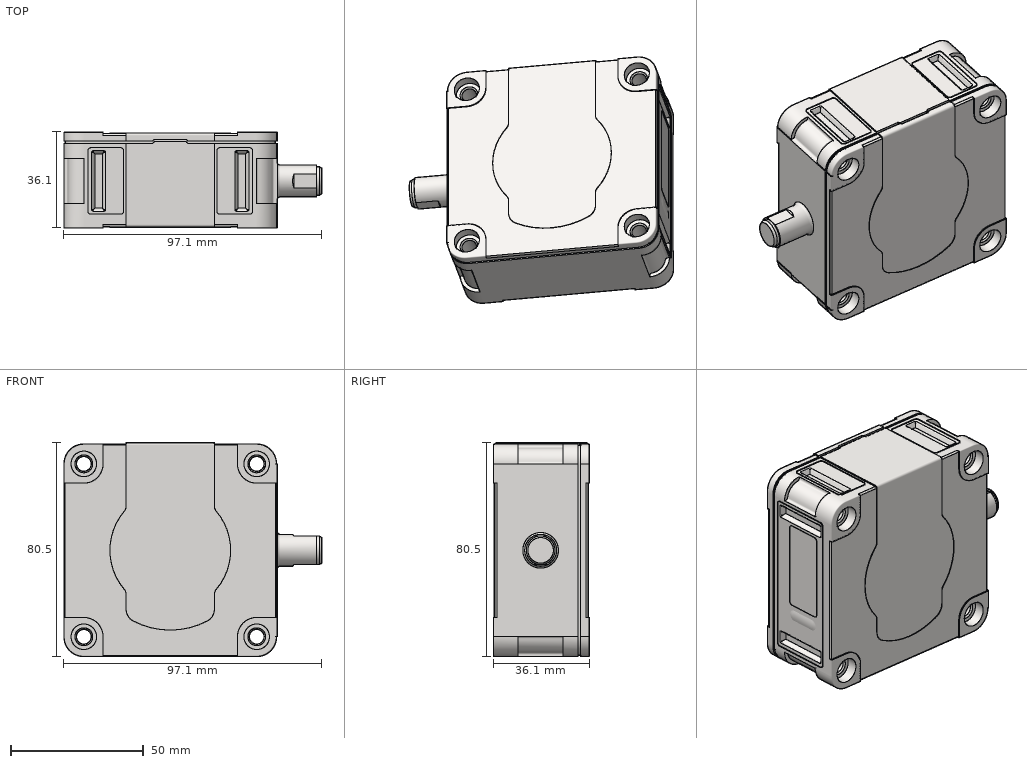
import cadquery as cq
import math

SIDE = 80.0
HALF = SIDE / 2
PAD_Y = 18.05
FACE_Y = 17.55
BAND_Y = 17.75
CORNER_RADIUS = 7.5
BEVEL_DEPTH = 0.85
BEVEL_RUN = 0.4
PAD_FILLET = 0.4
SIDE_CENTRE_Y = -0.3

HOLE_OFFSET = HALF - CORNER_RADIUS
PAD_RADIUS = 7.25
HOLE_DIAMETER = 5.5
HOLE_MOUTH_DIAMETER = 6.7
HOLE_CHAMFER = (HOLE_MOUTH_DIAMETER - HOLE_DIAMETER) / 2
COUNTERBORE_DIAMETER = 9.6
COUNTERBORE_DEPTH = 4.3
RELIEF_RADIUS = 6.0
RELIEF_FILLET = 0.9
RELIEF_WIDTH = 17.0

BAND_HALF_WIDTH = 16.6
BAND_RISE = 0.5
BAND_TOP_FILLET = 1.0
BULGE_RADIUS = 22.7
BULGE_BLEND_RADIUS = 3.0
BAND_END_RADIUS = 30.0
BAND_END_BLEND_RADIUS = 5.0

JOINT_Y = 14.25
JOINT_WIDTH = 0.9
JOINT_DEPTH = 0.5
JOINT_STEP = 0.65
JOINT_STEP_INNER = 5.9
JOINT_STEP_OUTER = 6.7

FRAME_DEPTH = 0.3
FRAME_WIDTH = 25.0
FRAME_OUTER = 31.0
TOP_FRAME_INNER = 17.5
FRAME_RADIUS = 1.2
SLOT_OFFSET = 26.95
SLOT_OPENING = 4.4
SLOT_LENGTH = 22.0
SLOT_DEPTH = 2.2
SLOT_WALL_RUN = 0.8
SLOT_RIM_RADIUS = 0.7
SLOT_RIM_CHAMFER = 0.4

WINDOW_Y = -1.8
LABEL_WIDTH = 15.0
LABEL_TOP = 23.1
LABEL_BOTTOM = -10.9
LABEL_RADIUS = 1.3
LABEL_DEPTH = 0.1
LIGHT_Z = -15.0
LIGHT_LENGTH = 14.2
LIGHT_HEIGHT = 4.3
LIGHT_RISE = FRAME_DEPTH

PANEL_RISE = 0.3

CONNECTOR_END = 57.05
CONNECTOR_RADIUS = 6.0
CONNECTOR_FOOT_RADIUS = 6.7
CONNECTOR_FOOT_LENGTH = 1.1
FOOT_SAG = 0.35
CONNECTOR_SHOULDER = 55.0
TIP_RADIUS = 5.4
TIP_CHAMFER = 0.6
TIP_CHAMFER_LENGTH = 1.0
FLAT_START = 46.0
FLAT_RAMP = 0.5
FLAT_OFFSET = 5.42

EDGE_MARGIN = 0.5

XZ = cq.Workplane("XZ")


def slab(sketch, half_depth):
    """Extrude an XZ outline equally to both sides of Y = 0."""
    return sketch.extrude(half_depth, both=True)


def rounded_square(half_depth):
    return slab(XZ.rect(SIDE, SIDE), half_depth).edges("|Y").fillet(CORNER_RADIUS)


def corners():
    """The sign pairs of the four corners in X and Z."""
    return [(sx, sz) for sx in (-1, 1) for sz in (-1, 1)]


def pad_zone(sx, sz):
    """Prism around one mounting corner with its inner corner rounded."""
    inner = HOLE_OFFSET - PAD_RADIUS
    size = SIDE - inner
    centre = inner + size / 2
    prism = slab(XZ.center(sx * centre, sz * centre).rect(size, size), PAD_Y)
    inner_edge = "<X" if sx > 0 else ">X"
    inner_level = "<Z" if sz > 0 else ">Z"
    return prism.edges("|Y").edges(inner_edge).edges(inner_level).fillet(PAD_RADIUS)


def housing():
    """Square body with bevelled faces and a thicker pad at every corner."""
    body = rounded_square(FACE_Y - BEVEL_DEPTH)
    bevel_angle = math.degrees(math.atan(BEVEL_RUN / BEVEL_DEPTH))
    front_outline = body.faces("<Y").wires().toPending().workplane()
    bevel = front_outline.extrude(BEVEL_DEPTH, taper=bevel_angle, combine=False)
    body = body.union(bevel).union(bevel.mirror("XZ"))
    thick = rounded_square(PAD_Y).faces("<Y or >Y").edges().fillet(PAD_FILLET)
    for sx, sz in corners():
        body = body.union(thick.intersect(pad_zone(sx, sz)))
    return body


def connector_panel(body):
    """The +X side between the rounded corners, moved slightly outward.

    Between the pads it stops at the bevels of the main faces.
    """
    depth = 2 * CORNER_RADIUS
    panel_length = 2 * HOLE_OFFSET
    between_pads = 2 * (HOLE_OFFSET - PAD_RADIUS)
    bevel_start = FACE_Y - BEVEL_DEPTH
    zone = cq.Workplane("XY").box(depth, SIDE, panel_length)
    zone = zone.cut(cq.Workplane("XY").box(depth, SIDE, between_pads))
    zone = zone.union(cq.Workplane("XY").box(depth, 2 * bevel_start, between_pads))
    return body.translate((PANEL_RISE, 0, 0)).intersect(zone.translate((HALF, 0, 0)))


def raised_band():
    """Band over the top and down both faces, widened by a round bulge."""
    top = HALF + BAND_RISE
    end_corner_z = -math.sqrt(BAND_END_RADIUS**2 - BAND_HALF_WIDTH**2)
    straight = slab(
        XZ.moveTo(-BAND_HALF_WIDTH, top)
        .lineTo(BAND_HALF_WIDTH, top)
        .lineTo(BAND_HALF_WIDTH, end_corner_z)
        .threePointArc((0, -BAND_END_RADIUS), (-BAND_HALF_WIDTH, end_corner_z))
        .close(),
        BAND_Y,
    )
    straight = straight.edges("|Y").edges("<Z").fillet(BAND_END_BLEND_RADIUS)
    band = straight.union(slab(XZ.circle(BULGE_RADIUS), BAND_Y))
    meeting_z = math.sqrt(BULGE_RADIUS**2 - BAND_HALF_WIDTH**2)
    meeting_edges = cq.selectors.BoxSelector(
        (-BAND_HALF_WIDTH - EDGE_MARGIN, -BAND_Y, -meeting_z - EDGE_MARGIN),
        (BAND_HALF_WIDTH + EDGE_MARGIN, BAND_Y, meeting_z + EDGE_MARGIN),
    )
    band = band.edges("|Y").edges(meeting_edges).fillet(BULGE_BLEND_RADIUS)
    return band.faces(">Z").edges("|X").fillet(BAND_TOP_FILLET)


def lid_joint():
    """Ring that cuts the joint groove, with a sideways jog across the top."""
    floor_side = SIDE - 2 * JOINT_DEPTH
    outside = SIDE + 2 * (BAND_RISE + JOINT_DEPTH)
    core_radius = CORNER_RADIUS - JOINT_DEPTH
    low = JOINT_Y - JOINT_WIDTH / 2

    def ring_stock(side):
        return cq.Workplane("XZ", origin=(0, low, 0)).rect(side, side).extrude(-JOINT_WIDTH)

    core = ring_stock(floor_side).edges("|Y").fillet(core_radius)
    ring = ring_stock(outside).cut(core)
    jog_zone = cq.Workplane("XY").box(
        2 * JOINT_STEP_OUTER, 2 * JOINT_WIDTH, SIDE, centered=(True, True, False)
    )
    ring = ring.cut(jog_zone.translate((0, JOINT_Y, 0)))
    high = low + JOINT_STEP
    jog = (
        cq.Workplane("XY", origin=(0, 0, HALF - JOINT_DEPTH))
        .polyline(
            [
                (-JOINT_STEP_OUTER, low),
                (-JOINT_STEP_INNER, high),
                (JOINT_STEP_INNER, high),
                (JOINT_STEP_OUTER, low),
                (JOINT_STEP_OUTER, low + JOINT_WIDTH),
                (JOINT_STEP_INNER, high + JOINT_WIDTH),
                (-JOINT_STEP_INNER, high + JOINT_WIDTH),
                (-JOINT_STEP_OUTER, low + JOINT_WIDTH),
            ]
        )
        .close()
        .extrude(2 * JOINT_DEPTH + BAND_RISE)
    )
    return ring.union(jog)


def corner_relief(sx, sz):
    """Waist cut into one rounded corner, concentric with the mounting hole."""
    reach = 2 * CORNER_RADIUS
    core = XZ.circle(RELIEF_RADIUS).extrude(RELIEF_WIDTH)
    relief = XZ.center(reach / 2, reach / 2).rect(reach, reach).extrude(RELIEF_WIDTH).cut(core)
    middle_y = -RELIEF_WIDTH / 2
    for arc_end in ((RELIEF_RADIUS, middle_y, 0), (0, middle_y, RELIEF_RADIUS)):
        relief = relief.edges(cq.NearestToPointSelector(arc_end)).fillet(RELIEF_FILLET)
    if sx < 0:
        relief = relief.mirror("YZ")
    if sz < 0:
        relief = relief.mirror("XY")
    return relief.translate((sx * HOLE_OFFSET, SIDE_CENTRE_Y + RELIEF_WIDTH / 2, sz * HOLE_OFFSET))


def mounting_hole(sx, sz):
    """Through hole, counterbored and chamfered from both faces."""
    hole = slab(XZ.circle(HOLE_DIAMETER / 2), PAD_Y)
    floor = PAD_Y - COUNTERBORE_DEPTH
    cone = cq.Solid.makeCone(
        HOLE_MOUTH_DIAMETER / 2,
        HOLE_DIAMETER / 2,
        HOLE_CHAMFER,
        cq.Vector(0, -floor, 0),
        cq.Vector(0, 1, 0),
    )
    bore = XZ.workplane(offset=floor).circle(COUNTERBORE_DIAMETER / 2).extrude(COUNTERBORE_DEPTH)
    end = bore.union(cq.Workplane(cone))
    hole = hole.union(end).union(end.mirror("XZ"))
    return hole.translate((sx * HOLE_OFFSET, 0, sz * HOLE_OFFSET))


def top_pocket(centre_x, centre_y, size_x, size_y, depth, radius):
    """Rounded rectangle reaching a given depth below the top side."""
    return (
        cq.Workplane("XY", origin=(centre_x, centre_y, HALF - depth))
        .rect(size_x, size_y)
        .extrude(depth)
        .edges("|Z")
        .fillet(radius)
    )


def turned_to_left(shape):
    """Turn a feature of the top side onto the -X side, where its X becomes Z."""
    return shape.rotate((0, 0, 0), (0, 1, 0), -90)


def strap_slot(centre_x):
    """Blind slot with drafted walls and a chamfered rim at the frame floor."""
    rim_depth = FRAME_DEPTH + SLOT_RIM_CHAMFER
    draft = math.degrees(math.atan(SLOT_WALL_RUN / (SLOT_DEPTH - rim_depth)))
    slot = (
        cq.Workplane("XY", origin=(centre_x, SIDE_CENTRE_Y, HALF - rim_depth))
        .rect(SLOT_OPENING, SLOT_LENGTH)
        .extrude(rim_depth - SLOT_DEPTH, taper=draft)
    )
    flare = top_pocket(
        centre_x,
        SIDE_CENTRE_Y,
        SLOT_OPENING + 2 * SLOT_RIM_CHAMFER,
        SLOT_LENGTH + 2 * SLOT_RIM_CHAMFER,
        rim_depth,
        SLOT_RIM_RADIUS,
    )
    flare = flare.faces("<Z").edges().chamfer(SLOT_RIM_CHAMFER)
    return slot.union(flare)


def frame(inner_x, outer_x):
    """Shallow rounded recess between two X positions on the top side."""
    centre_x = (inner_x + outer_x) / 2
    length = abs(outer_x - inner_x)
    return top_pocket(centre_x, SIDE_CENTRE_Y, length, FRAME_WIDTH, FRAME_DEPTH, FRAME_RADIUS)


def label_recess():
    centre = (LABEL_TOP + LABEL_BOTTOM) / 2
    length = LABEL_TOP - LABEL_BOTTOM
    depth = FRAME_DEPTH + LABEL_DEPTH
    return top_pocket(centre, WINDOW_Y, length, LABEL_WIDTH, depth, LABEL_RADIUS)


def light_window():
    """Low cylindrical lens with ball ends, standing on the floor of the left frame."""
    floor = HALF - FRAME_DEPTH
    half_height = LIGHT_HEIGHT / 2
    radius = (half_height**2 + LIGHT_RISE**2) / (2 * LIGHT_RISE)
    axis_z = HALF - radius
    straight = LIGHT_LENGTH - LIGHT_HEIGHT
    lens = cq.Workplane("XZ", origin=(0, straight / 2, axis_z)).circle(radius).extrude(straight)
    for end_y in (-straight / 2, straight / 2):
        lens = lens.union(cq.Workplane("XY", origin=(0, end_y, axis_z)).sphere(radius))
    lens = lens.intersect(cq.Workplane("XY", origin=(0, 0, floor)).rect(SIDE, SIDE).extrude(LIGHT_RISE))
    return lens.translate((LIGHT_Z, WINDOW_Y, 0))


def connector():
    """Turned stub along X with a hollow foot, two flats and a stepped tip."""
    foot_start = HALF + PANEL_RISE
    foot_end = foot_start + CONNECTOR_FOOT_LENGTH
    foot_middle = (
        foot_start + FOOT_SAG * CONNECTOR_FOOT_LENGTH,
        CONNECTOR_RADIUS + FOOT_SAG * (CONNECTOR_FOOT_RADIUS - CONNECTOR_RADIUS),
    )
    tip_cone = CONNECTOR_END - TIP_CHAMFER_LENGTH
    turned = (
        cq.Workplane("XY")
        .moveTo(HALF - PANEL_RISE, 0)
        .lineTo(HALF - PANEL_RISE, CONNECTOR_FOOT_RADIUS)
        .lineTo(foot_start, CONNECTOR_FOOT_RADIUS)
        .threePointArc(foot_middle, (foot_end, CONNECTOR_RADIUS))
        .lineTo(CONNECTOR_SHOULDER, CONNECTOR_RADIUS)
        .lineTo(CONNECTOR_SHOULDER, TIP_RADIUS)
        .lineTo(tip_cone, TIP_RADIUS)
        .lineTo(CONNECTOR_END, TIP_RADIUS - TIP_CHAMFER)
        .lineTo(CONNECTOR_END, 0)
        .close()
        .revolve(360, (0, 0, 0), (1, 0, 0))
    )
    flat = (
        cq.Workplane("XZ")
        .moveTo(FLAT_START, CONNECTOR_RADIUS)
        .lineTo(FLAT_START + FLAT_RAMP, FLAT_OFFSET)
        .lineTo(CONNECTOR_SHOULDER, FLAT_OFFSET)
        .lineTo(CONNECTOR_SHOULDER, CONNECTOR_RADIUS)
        .close()
        .extrude(CONNECTOR_RADIUS, both=True)
    )
    turned = turned.cut(flat).cut(flat.mirror("XY"))
    return turned.translate((0, SIDE_CENTRE_Y, 0))


def build():
    body = housing()
    part = body.union(connector_panel(body)).union(raised_band()).cut(lid_joint())
    for sx, sz in corners():
        part = part.cut(corner_relief(sx, sz)).cut(mounting_hole(sx, sz))
    part = part.cut(turned_to_left(frame(-FRAME_OUTER, FRAME_OUTER)))
    for side in (-1, 1):
        slot = strap_slot(side * SLOT_OFFSET)
        part = part.cut(frame(side * TOP_FRAME_INNER, side * FRAME_OUTER))
        part = part.cut(slot).cut(turned_to_left(slot))
    part = part.cut(turned_to_left(label_recess()))
    part = part.union(turned_to_left(light_window()))
    return part.union(connector())


result = build()